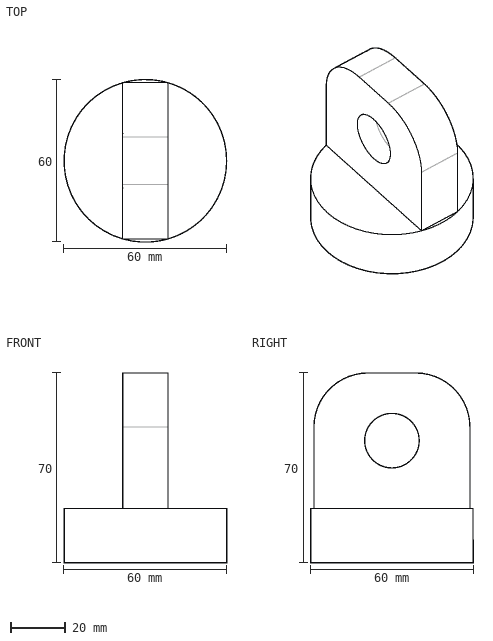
import cadquery as cq
import math

total_height = 70.0
base_diameter = 60.0
base_height = 20.0
lug_thickness = 16.8
corner_radius = 20.0
hole_diameter = 20.0
hole_center_height = 45.0

lug_width = math.sqrt(base_diameter**2 - lug_thickness**2)
lug_height = total_height - base_height


def make_base():
    """Round base standing on the XY plane."""
    return cq.Workplane("XY").circle(base_diameter / 2).extrude(base_height)


def make_lug():
    """Upright plate with rounded upper corners."""
    plate = (
        cq.Workplane("XY")
        .workplane(offset=base_height)
        .rect(lug_thickness, lug_width)
        .extrude(lug_height)
    )
    return plate.faces(">Z").edges("|X").fillet(corner_radius)


def make_cross_hole():
    """Cylinder along X that passes through the lug."""
    return (
        cq.Workplane("YZ")
        .center(0, hole_center_height)
        .circle(hole_diameter / 2)
        .extrude(lug_thickness, both=True)
    )


result = make_base().union(make_lug()).cut(make_cross_hole())